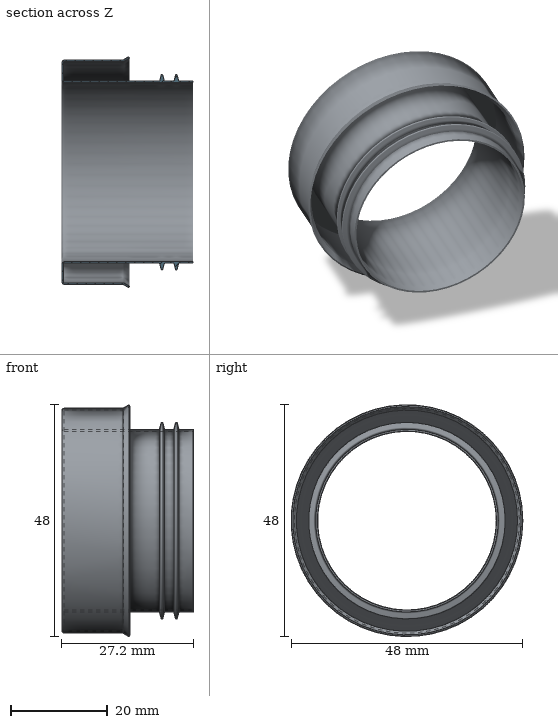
import cadquery as cq
import math

total_length = 27.2
bore_radius = 37.0 / 2
spigot_radius = 37.8 / 2
sleeve_inner_radius = 45.8 / 2
sleeve_radius = 46.6 / 2
lip_radius = 24.0
lip_start = 12.65
lip_angle = math.radians(30)
fold_radius = 0.6
wall = sleeve_radius - sleeve_inner_radius
bead_centers = (20.75, 23.7)
bead_radius = 20.35
bead_half_width = 0.55
bead_tip_half_width = 0.2
bead_tip_rise = 0.15


def revolve_about_x(profile):
    """Revolve a closed profile of (axial, radial) points about the X axis."""
    return profile.close().revolve(360, (0, 0, 0), (1, 0, 0))


def make_shell():
    """Thin inner tube folded back at the front into a sleeve with a flared lip."""
    tip_x = lip_start + (lip_radius - sleeve_radius) / math.tan(lip_angle)
    inner_tip_x = tip_x + wall * math.sin(lip_angle)
    inner_tip_radius = lip_radius - wall * math.cos(lip_angle)
    inner_lip_start = lip_start + wall * math.tan(lip_angle / 2)
    profile = (
        cq.Workplane("XY")
        .moveTo(fold_radius, bore_radius)
        .lineTo(total_length, bore_radius)
        .lineTo(total_length, spigot_radius)
        .lineTo(wall, spigot_radius)
        .lineTo(wall, sleeve_inner_radius)
        .lineTo(inner_lip_start, sleeve_inner_radius)
        .lineTo(inner_tip_x, inner_tip_radius)
        .lineTo(tip_x, lip_radius)
        .lineTo(lip_start, sleeve_radius)
        .lineTo(fold_radius, sleeve_radius)
        .radiusArc((0, sleeve_radius - fold_radius), -fold_radius)
        .lineTo(0, bore_radius + fold_radius)
        .radiusArc((fold_radius, bore_radius), -fold_radius)
    )
    return revolve_about_x(profile)


def make_bead(center):
    """Tapered sealing bead with a rounded crest, rooted inside the tube wall."""
    shoulder_radius = bead_radius - bead_tip_rise
    root_radius = (bore_radius + spigot_radius) / 2
    profile = (
        cq.Workplane("XY")
        .moveTo(center - bead_half_width, root_radius)
        .lineTo(center - bead_half_width, spigot_radius)
        .lineTo(center - bead_tip_half_width, shoulder_radius)
        .threePointArc((center, bead_radius), (center + bead_tip_half_width, shoulder_radius))
        .lineTo(center + bead_half_width, spigot_radius)
        .lineTo(center + bead_half_width, root_radius)
    )
    return revolve_about_x(profile)


result = make_shell()
for bead_center in bead_centers:
    result = result.union(make_bead(bead_center))